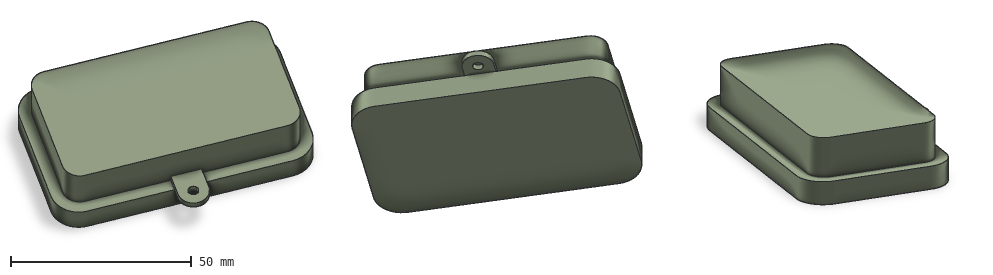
import cadquery as cq

flange_width = 45.2
flange_length = 75.7
flange_height = 6.8
flange_corner_radius = 8.0

total_height = 18.5
block_inset = 3.5
block_corner_radius = 5.0
block_width = flange_width - 2 * block_inset
block_length = flange_length - 2 * block_inset
block_height = total_height - flange_height

tab_reach = 7.6
tab_width = 8.9
tab_thickness = 1.75
tab_hole_diameter = 2.95
tab_end_radius = tab_width / 2
tab_end_x = flange_width / 2 + tab_reach
tab_center_x = tab_end_x - tab_end_radius


def rounded_block(width, length, height, corner_radius, bottom_z):
    """Upright block with rounded vertical edges, centred on the Z axis."""
    block = cq.Workplane("XY").workplane(offset=bottom_z).rect(width, length).extrude(height)
    return block.edges("|Z").fillet(corner_radius)


def hanging_tab():
    """Tab starting inside the raised block, with a hole at the centre of its round end."""
    outline = (
        cq.Workplane("XY")
        .workplane(offset=flange_height)
        .moveTo(0, -tab_end_radius)
        .lineTo(tab_center_x, -tab_end_radius)
        .threePointArc((tab_end_x, 0), (tab_center_x, tab_end_radius))
        .lineTo(0, tab_end_radius)
        .close()
    )
    hole = (
        cq.Workplane("XY")
        .workplane(offset=flange_height)
        .center(tab_center_x, 0)
        .circle(tab_hole_diameter / 2)
        .extrude(tab_thickness)
    )
    return outline.extrude(tab_thickness).cut(hole)


flange = rounded_block(flange_width, flange_length, flange_height, flange_corner_radius, 0)
block = rounded_block(block_width, block_length, block_height, block_corner_radius, flange_height)

result = flange.union(block).union(hanging_tab())